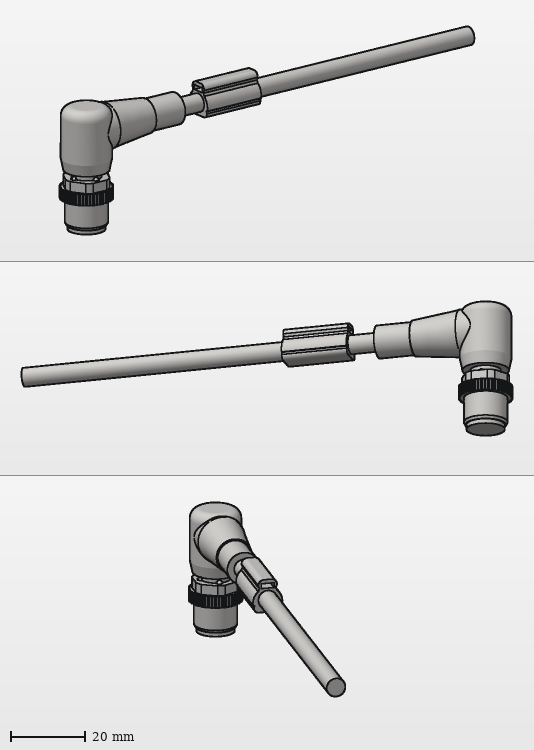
import cadquery as cq
import math

TOP_Z = 35.0
BODY_RADIUS = 7.0
BODY_TOP_FILLET = 2.9
BODY_TAPER_TOP_Z = 20.2
BODY_BOTTOM_Z = 16.9
BODY_BOTTOM_RADIUS = 6.3

CABLE_AXIS_Z = 28.0
ELBOW_RADIUS = 6.6
ELBOW_END_Y = 6.6
BOOT_BAND = 0.4
BOOT_LARGE_RADIUS = 6.5
BOOT_SMALL_RADIUS = 5.0
BOOT_CONE_END_Y = 20.0
BOOT_SLEEVE_RADIUS = 4.5
BOOT_END_Y = 30.2

CABLE_RADIUS = 2.6
NUT_RING_RADIUS = 7.3
CABLE_END_Y = 137.3 - NUT_RING_RADIUS
CABLE_START_Y = BOOT_CONE_END_Y

CLIP_START_Y = 38.0
CLIP_LENGTH = 18.3
CLIP_RADIUS = 4.1
CLIP_LOBE_CENTER_Z = -0.7
CLIP_LOBE_TOP_Z = 2.5
CLIP_TOP_Z = 5.8
CLIP_TOP_HALF_WIDTH = 1.1
CLIP_RIB_HALF_WIDTH = 2.6
CLIP_RIB_SHOULDER_Z = 4.1
CLIP_GROOVE_TOP_Z = 3.3
CLIP_GROOVE_DEPTH = 0.3
CLIP_NOTCH_TOP_Z = -1.5
CLIP_NOTCH_BOTTOM_Z = -2.2
CLIP_NOTCH_DEPTH = 0.4
CLIP_BOTTOM_Z = -3.6
CLIP_SLOT_WIDTH = 3.6
CLIP_SLOT_BOTTOM_Z = 3.3
CLIP_SLOT_TOP_Z = 4.7

HEX_TOP_Z = 15.0
HEX_APOTHEM = 6.0
HEX_CORNER_RADIUS = 6.5
RING_TOP_Z = 12.1
RING_BOTTOM_Z = 8.9
RING_GROOVE_RADIUS = 0.3
RING_GROOVES = 48
THREAD_RADIUS = 5.9
NUT_BOTTOM_Z = 1.2
NUT_CHAMFER_HEIGHT = 0.8
NUT_CHAMFER_WIDTH = 0.4

CARRIER_RADIUS = 5.2
NECK_RADIUS = 4.1
CARRIER_SHOULDER_Z = RING_TOP_Z
LATCH_COUNT = 4
LATCH_BASE_RADIUS = 1.0
LATCH_TOP_RADIUS = 0.3
LATCH_HEIGHT = 0.8


def cylinder_z(radius, bottom, top):
    return cq.Workplane("XY").workplane(offset=bottom).circle(radius).extrude(top - bottom)


def cylinder_y(radius, start, end):
    plane = cq.Plane(origin=(0, start, CABLE_AXIS_Z), xDir=(1, 0, 0), normal=(0, 1, 0))
    return cq.Workplane(plane).circle(radius).extrude(end - start)


def make_cable():
    return cylinder_y(CABLE_RADIUS, CABLE_START_Y, CABLE_END_Y)


def make_housing():
    body = (
        cylinder_z(BODY_RADIUS, BODY_TAPER_TOP_Z, TOP_Z)
        .faces(">Z").edges().fillet(BODY_TOP_FILLET)
    )
    taper = (
        cq.Workplane("XY").workplane(offset=BODY_BOTTOM_Z).circle(BODY_BOTTOM_RADIUS)
        .workplane(offset=BODY_TAPER_TOP_Z - BODY_BOTTOM_Z).circle(BODY_RADIUS).loft()
    )
    boot_half_profile = [
        (0, 0),
        (ELBOW_RADIUS, 0),
        (ELBOW_RADIUS, ELBOW_END_Y),
        (BOOT_LARGE_RADIUS, ELBOW_END_Y + BOOT_BAND),
        (BOOT_SMALL_RADIUS, BOOT_CONE_END_Y),
        (BOOT_SLEEVE_RADIUS, BOOT_CONE_END_Y),
        (BOOT_SLEEVE_RADIUS, BOOT_END_Y),
        (0, BOOT_END_Y),
    ]
    boot = (
        cq.Workplane("XY").polyline(boot_half_profile).close()
        .revolve(360, (0, 0, 0), (0, 1, 0)).translate((0, 0, CABLE_AXIS_Z))
    )
    cable_hole = cylinder_y(CABLE_RADIUS, CABLE_START_Y, BOOT_END_Y)
    return body.union(taper).union(boot).cut(cable_hole)


def lobe_half_width(z):
    """Half width of the clip's round lobe at height z."""
    return math.sqrt(CLIP_RADIUS**2 - (z - CLIP_LOBE_CENTER_Z) ** 2)


def make_clip():
    shoulder_drop = CLIP_TOP_Z - CLIP_RIB_SHOULDER_Z
    shoulder_run = CLIP_RIB_HALF_WIDTH - CLIP_TOP_HALF_WIDTH
    shoulder_mid = (
        CLIP_TOP_HALF_WIDTH + shoulder_run * math.sqrt(0.5),
        CLIP_RIB_SHOULDER_Z + shoulder_drop * math.sqrt(0.5),
    )
    groove_x = CLIP_RIB_HALF_WIDTH - CLIP_GROOVE_DEPTH
    notch_x = lobe_half_width(CLIP_NOTCH_TOP_Z) - CLIP_NOTCH_DEPTH
    lip_x = lobe_half_width(CLIP_NOTCH_BOTTOM_Z)
    lip_radius = CLIP_NOTCH_BOTTOM_Z - CLIP_BOTTOM_Z
    lip_mid = (
        lip_x - lip_radius * (1 - math.sqrt(0.5)),
        CLIP_NOTCH_BOTTOM_Z - lip_radius * math.sqrt(0.5),
    )
    plane = cq.Plane(
        origin=(0, CLIP_START_Y, CABLE_AXIS_Z), xDir=(-1, 0, 0), normal=(0, 1, 0)
    )
    half = (
        cq.Workplane(plane)
        .moveTo(0, CLIP_TOP_Z)
        .lineTo(CLIP_TOP_HALF_WIDTH, CLIP_TOP_Z)
        .threePointArc(shoulder_mid, (CLIP_RIB_HALF_WIDTH, CLIP_RIB_SHOULDER_Z))
        .lineTo(groove_x, CLIP_GROOVE_TOP_Z)
        .lineTo(lobe_half_width(CLIP_LOBE_TOP_Z), CLIP_LOBE_TOP_Z)
        .threePointArc(
            (CLIP_RADIUS, CLIP_LOBE_CENTER_Z),
            (lobe_half_width(CLIP_NOTCH_TOP_Z), CLIP_NOTCH_TOP_Z),
        )
        .lineTo(notch_x, CLIP_NOTCH_TOP_Z)
        .lineTo(lip_x, CLIP_NOTCH_BOTTOM_Z)
        .threePointArc(lip_mid, (lip_x - lip_radius, CLIP_BOTTOM_Z))
        .lineTo(0, CLIP_BOTTOM_Z)
        .close()
        .extrude(CLIP_LENGTH)
    )
    clip = half.union(half.mirror("YZ"))
    slot = cq.Workplane("XY").box(
        CLIP_SLOT_WIDTH, CLIP_LENGTH, CLIP_SLOT_TOP_Z - CLIP_SLOT_BOTTOM_Z, centered=(True, False, False)
    ).translate((0, CLIP_START_Y, CABLE_AXIS_Z + CLIP_SLOT_BOTTOM_Z))
    return clip.cut(slot).cut(cylinder_y(CABLE_RADIUS, CLIP_START_Y, CLIP_START_Y + CLIP_LENGTH))


def make_carrier():
    carrier = cylinder_z(CARRIER_RADIUS, 0, CARRIER_SHOULDER_Z).union(
        cylinder_z(NECK_RADIUS, CARRIER_SHOULDER_Z, BODY_BOTTOM_Z)
    )
    latch = cq.Workplane(
        cq.Solid.makeCone(
            LATCH_BASE_RADIUS, LATCH_TOP_RADIUS, LATCH_HEIGHT, pnt=cq.Vector(NECK_RADIUS, 0, HEX_TOP_Z)
        )
    )
    for index in range(LATCH_COUNT):
        carrier = carrier.union(latch.rotate((0, 0, 0), (0, 0, 1), index * 360 / LATCH_COUNT))
    return carrier


def make_nut(carrier):
    hex_head = (
        cq.Workplane("XY").workplane(offset=RING_TOP_Z)
        .polygon(6, 2 * HEX_APOTHEM, circumscribed=True).extrude(HEX_TOP_Z - RING_TOP_Z)
        .intersect(cylinder_z(HEX_CORNER_RADIUS, RING_TOP_Z, HEX_TOP_Z))
    )
    ring_grooves = (
        cq.Workplane("XY").workplane(offset=RING_BOTTOM_Z)
        .polarArray(NUT_RING_RADIUS, 180 / RING_GROOVES, 360, RING_GROOVES)
        .circle(RING_GROOVE_RADIUS).extrude(RING_TOP_Z - RING_BOTTOM_Z)
    )
    ring = cylinder_z(NUT_RING_RADIUS, RING_BOTTOM_Z, RING_TOP_Z).cut(ring_grooves)
    threaded_end = (
        cylinder_z(THREAD_RADIUS, NUT_BOTTOM_Z, RING_BOTTOM_Z)
        .faces("<Z").chamfer(NUT_CHAMFER_HEIGHT, NUT_CHAMFER_WIDTH)
    )
    return hex_head.union(ring).union(threaded_end).cut(carrier)


cable = make_cable()
housing = make_housing()
clip = make_clip()
carrier = make_carrier()
nut = make_nut(carrier)

result = cq.Compound.makeCompound(
    [housing.val(), cable.val(), clip.val(), nut.val(), carrier.val()]
)